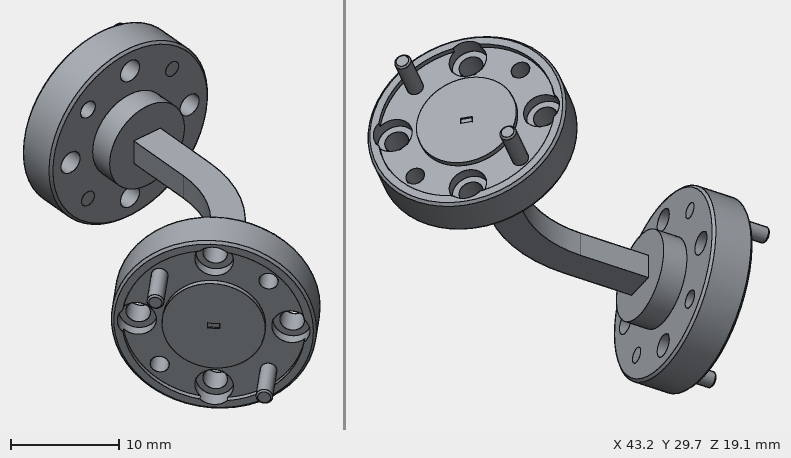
import cadquery as cq
import math


BEND_ANGLE = 45.0
BEND_RADIUS = 12.65
STRAIGHT = 13.85

TUBE_WIDTH = 3.2
TUBE_HEIGHT = 2.55

FLANGE_DIA = 19.05
FLANGE_THICK = 4.25
FLANGE_CHAMFER = 0.25
HUB_DIA = 8.98
HUB_LENGTH = 2.45
BOSS_DIA = 9.6
RIM_INNER_DIA = 17.0
GROOVE_DEPTH = 0.5
PORT_WIDTH = 1.12
PORT_HEIGHT = 0.55
PORT_DEPTH = 0.17

BOLT_CIRCLE_DIA = 14.3
SCREW_HOLE_DIA = 2.3
COUNTERBORE_DIA = 3.6
COUNTERBORE_DEPTH = 1.6
SCREW_ANGLES = (0, 90, 180, 270)
DOWEL_HOLE_DIA = 1.75
DOWEL_HOLE_ANGLES = (45, 225)

PIN_DIA = 1.55
PIN_PROTRUSION = 3.85
PIN_CHAMFER = 0.17
PIN_ANGLES = (135, 315)

turn = math.radians(BEND_ANGLE)
bend_start = (STRAIGHT, 0)
bend_middle = (
    STRAIGHT + BEND_RADIUS * math.sin(turn / 2),
    -BEND_RADIUS * (1 - math.cos(turn / 2)),
)
bend_end = (
    STRAIGHT + BEND_RADIUS * math.sin(turn),
    -BEND_RADIUS * (1 - math.cos(turn)),
)
far_end = (
    bend_end[0] + STRAIGHT * math.cos(turn),
    bend_end[1] - STRAIGHT * math.sin(turn),
)

near_plane = cq.Plane(origin=(0, 0, 0), xDir=(0, -1, 0), normal=(-1, 0, 0))
far_plane = cq.Plane(
    origin=(*far_end, 0),
    xDir=(math.sin(turn), math.cos(turn), 0),
    normal=(math.cos(turn), -math.sin(turn), 0),
)
flange_planes = (near_plane, far_plane)


def make_tube():
    """Rectangular bar along the whole centre line, from flange face to flange face."""
    path = cq.Workplane("XY").lineTo(*bend_start).threePointArc(bend_middle, bend_end).lineTo(*far_end)
    return cq.Workplane("YZ").rect(TUBE_WIDTH, TUBE_HEIGHT).sweep(path, transition="right")


def on_bolt_circle(plane, angles):
    """Workplane on the flange face with one point at each angle of the bolt circle."""
    radius = BOLT_CIRCLE_DIA / 2
    points = [
        (radius * math.cos(math.radians(angle)), radius * math.sin(math.radians(angle)))
        for angle in angles
    ]
    return cq.Workplane(plane).pushPoints(points)


def make_flange_blank(plane):
    """Chamfered disc with a hub on its back."""
    disc = cq.Workplane(plane).circle(FLANGE_DIA / 2).extrude(-FLANGE_THICK).edges().chamfer(FLANGE_CHAMFER)
    hub = cq.Workplane(plane).circle(HUB_DIA / 2).extrude(-(FLANGE_THICK + HUB_LENGTH))
    return disc.union(hub)


def make_flange_cuts(plane):
    """Face groove, port, counterbored screw holes, open dowel holes and the seats of the pins."""
    groove = cq.Workplane(plane).circle(RIM_INNER_DIA / 2).circle(BOSS_DIA / 2).extrude(-GROOVE_DEPTH)
    port = cq.Workplane(plane).rect(PORT_WIDTH, PORT_HEIGHT).extrude(-PORT_DEPTH)
    counterbores = on_bolt_circle(plane, SCREW_ANGLES).circle(COUNTERBORE_DIA / 2).extrude(-COUNTERBORE_DEPTH)
    screw_holes = on_bolt_circle(plane, SCREW_ANGLES).circle(SCREW_HOLE_DIA / 2).extrude(-FLANGE_THICK)
    dowel_holes = on_bolt_circle(plane, DOWEL_HOLE_ANGLES).circle(DOWEL_HOLE_DIA / 2).extrude(-FLANGE_THICK)
    pin_seats = on_bolt_circle(plane, PIN_ANGLES).circle(PIN_DIA / 2).extrude(-FLANGE_THICK)
    cuts = groove.union(port)
    for holes in (counterbores, screw_holes, dowel_holes, pin_seats):
        cuts = cuts.union(holes)
    return cuts


def make_housing():
    """Tube and both flanges as one solid."""
    body = make_tube()
    for plane in flange_planes:
        body = body.union(make_flange_blank(plane))
    for plane in flange_planes:
        body = body.cut(make_flange_cuts(plane))
    return body


def make_pin(plane, angle):
    """Dowel pin flush with the back of the flange, chamfered at its free tip."""
    back = on_bolt_circle(plane, (angle,)).circle(PIN_DIA / 2).extrude(-FLANGE_THICK)
    front = on_bolt_circle(plane, (angle,)).circle(PIN_DIA / 2).extrude(PIN_PROTRUSION)
    tip = cq.DirectionMinMaxSelector(plane.zDir, True)
    return back.union(front).clean().faces(tip).edges().chamfer(PIN_CHAMFER)


housing = make_housing()
pins = [make_pin(plane, angle) for plane in flange_planes for angle in PIN_ANGLES]

result = cq.Compound.makeCompound([housing.solids().val(), *[pin.val() for pin in pins]])